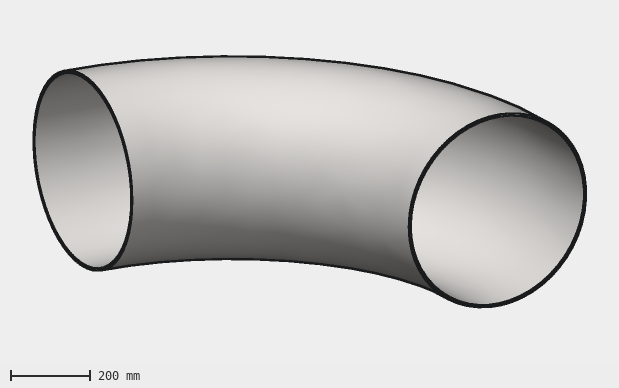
import cadquery as cq

outer_diameter = 508.0
wall = 6.0
bend_radius = 1.5 * outer_diameter
bend_angle = 90.0

inner_diameter = outer_diameter - 2 * wall

pipe_section = (
    cq.Workplane("XZ")
    .center(-bend_radius, 0)
    .circle(outer_diameter / 2)
    .circle(inner_diameter / 2)
)

bend_axis_start = (bend_radius, 0)
bend_axis_end = (bend_radius, -1)
result = pipe_section.revolve(bend_angle, bend_axis_start, bend_axis_end)